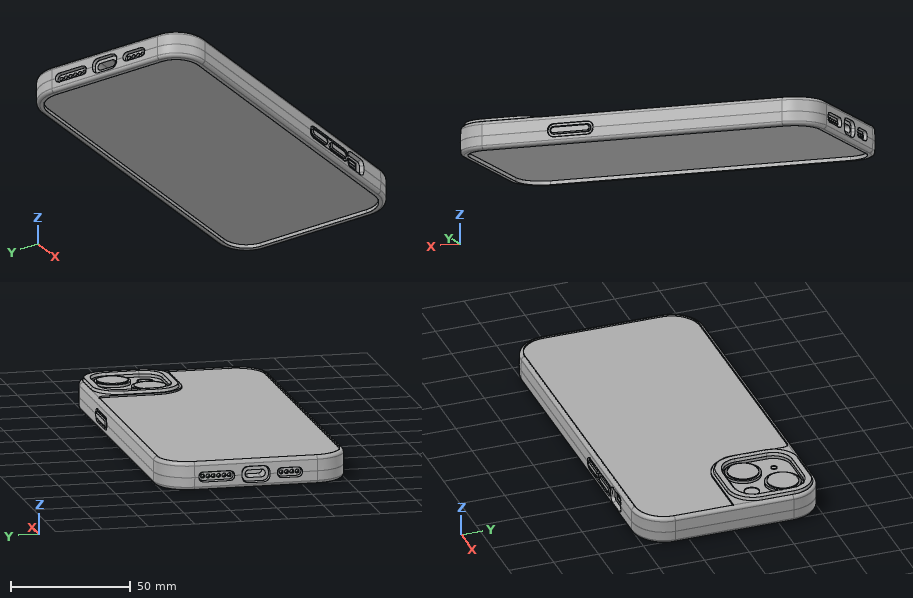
import cadquery as cq
import math

LENGTH = 164.1
WIDTH = 81.7
CORNER_RADIUS = 14.5
CASE_HEIGHT = 12.1
WIDEST_Z = 5.5
SIDE_LEAN = 0.2
TOP_ROUND = 1.6
BOTTOM_ROUND = 1.5

WALL = 1.6
PHONE_BOTTOM_Z = 1.6
PHONE_HEIGHT = 7.7
PHONE_LENGTH = LENGTH - 2 * WALL
PHONE_WIDTH = WIDTH - 2 * WALL
PHONE_CORNER = CORNER_RADIUS - WALL
PHONE_TOP_Z = PHONE_BOTTOM_Z + PHONE_HEIGHT
SCREEN_LIP = 1.6

CAMERA_X = 61.5
CAMERA_Y = 20.2
CAMERA_OPENING = 30.2
OPENING_RADIUS = 8.0
CAMERA_FLOOR_Z = 10.8
RING_SIDE = 37.5
RING_RADIUS = 11.5
RING_HEIGHT = 1.3
RING_LEAN = 0.5
LENS_CENTRES = [(68.1, 26.6), (55.3, 13.5)]
LENS_RADIUS = 7.7
LENS_HEIGHT = 1.1
GLASS_RADIUS = 6.7
GLASS_HEIGHT = 0.5
FLASH_CENTRE = (69.7, 12.1)
FLASH_RADIUS = 3.3
MICROPHONE_CENTRE = (54.0, 27.7)
MICROPHONE_RADIUS = 1.3
CAMERA_DIMPLE_DEPTH = 0.3

PANEL_INSET = 1.8
PANEL_CORNER = CORNER_RADIUS - PANEL_INSET
PANEL_THICKNESS = 1.0
PANEL_SINK = 0.7
PANEL_TOP_Z = CASE_HEIGHT - PANEL_SINK
NOTCH_X = 41.7
NOTCH_Y = 0.2
NOTCH_RADIUS = 13.1
PANEL_TIP_RADIUS = 2.6

BUTTON_RADIUS = 1.6
BUTTON_REACH = 41.2
BUTTON_BEVEL = 0.5
BUTTON_RECESS_DEPTH = 0.8
BUTTON_FLOOR = WIDTH / 2 - BUTTON_RECESS_DEPTH
BUTTON_MARGIN = 1.1
VOLUME_BUTTON_LENGTH = 12.0
VOLUME_BUTTON_XS = [20.8, 35.1]
POWER_BUTTON_LENGTH = 18.2
POWER_BUTTON_X = 27.9

SWITCH_X = 48.4
SWITCH_WINDOW_LENGTH = 10.3
SWITCH_WINDOW_HEIGHT = 5.5
SWITCH_WINDOW_RADIUS = 1.3
SWITCH_FLARE = 1.0
SWITCH_SLOT_LENGTH = 5.5
SWITCH_SLOT_HEIGHT = 3.0
SWITCH_SLOT_DEPTH = 0.5

END_FLARE = 0.3
PORT_WINDOW_LENGTH = 11.3
PORT_WINDOW_HEIGHT = 6.4
PORT_WINDOW_RADIUS = 2.5
PORT_LENGTH = 8.7
PORT_HEIGHT = 3.3
PORT_DEPTH = 6.5
SPEAKER_WINDOW_HEIGHT = 3.6
SPEAKER_END_MARGIN = 1.6
SPEAKER_HOLE_RADIUS = 0.8
SPEAKER_HOLE_PITCH = 2.3
SPEAKER_HOLE_DEPTH = 1.6
SPEAKER_FIRST_Y = 11.2
SPEAKER_HOLES_LEFT = 6
SPEAKER_HOLES_RIGHT = 4

THROUGH_WALL = 2 * WALL


def rounded_box(length, width, radius, bottom_z, height, x=0, y=0):
    """Box with upright rounded corners, centred on (x, y)."""
    box = cq.Workplane("XY", origin=(x, y, bottom_z)).rect(length, width).extrude(height)
    return box.edges("|Z").fillet(radius)


def rounded_outline(length, width, radius):
    return cq.Sketch().rect(length, width).vertices().fillet(radius)


def leaning_box(length, width, radius, start_z, height, lean, x=0, y=0):
    """Rounded box whose walls move inward by `lean` over its height (built downward if that is negative)."""
    taper = math.degrees(math.atan2(lean, abs(height)))
    outline = rounded_outline(length, width, radius)
    base = cq.Workplane("XY", origin=(x, y, start_z))
    return base.placeSketch(outline).extrude(height, taper=taper)


def front_plane(x, reach):
    """Plane facing -Y at distance `reach`, level with the widest line."""
    return cq.Plane(origin=(x, -reach, WIDEST_Z), xDir=(1, 0, 0), normal=(0, -1, 0))


def back_plane(x, reach):
    """Plane facing +Y at distance `reach`, level with the widest line."""
    return cq.Plane(origin=(x, reach, WIDEST_Z), xDir=(-1, 0, 0), normal=(0, 1, 0))


def end_plane(y, reach):
    """Plane facing -X at distance `reach`, level with the widest line."""
    return cq.Plane(origin=(-reach, y, WIDEST_Z), xDir=(0, -1, 0), normal=(-1, 0, 0))


def flared_window(plane, outline, flare):
    """Cutter through the case wall that grows outward by `flare` over the wall thickness."""
    taper = math.degrees(math.atan2(flare, WALL))
    return cq.Workplane(plane).placeSketch(outline).extrude(THROUGH_WALL, taper=-taper)


def pill(plane, length, height, depth):
    """Slot shape with round ends on `plane`, extruded along its normal."""
    return cq.Workplane(plane).slot2D(length, height).extrude(depth)


def phone_block():
    body = rounded_box(PHONE_LENGTH, PHONE_WIDTH, PHONE_CORNER, PHONE_BOTTOM_Z, PHONE_HEIGHT)
    camera_height = CAMERA_FLOOR_Z - PHONE_TOP_Z
    plateau = rounded_box(
        CAMERA_OPENING, CAMERA_OPENING, OPENING_RADIUS, PHONE_TOP_Z, camera_height, CAMERA_X, CAMERA_Y
    )
    return body.union(plateau)


def panel_block(height):
    """Rounded plate with a notch round the camera, from the panel underside upward."""
    bottom_z = PANEL_TOP_Z - PANEL_THICKNESS
    plate = rounded_box(LENGTH - 2 * PANEL_INSET, WIDTH - 2 * PANEL_INSET, PANEL_CORNER, bottom_z, height)
    notch = (
        cq.Workplane("XY", origin=(NOTCH_X, NOTCH_Y, bottom_z))
        .rect(LENGTH, WIDTH, centered=False)
        .extrude(height)
        .edges("|Z and <X and <Y")
        .fillet(NOTCH_RADIUS)
    )
    tip = cq.selectors.NearestToPointSelector((NOTCH_X, WIDTH / 2 - PANEL_INSET, bottom_z + height / 2))
    return plate.cut(notch).edges(tip).fillet(PANEL_TIP_RADIUS)


def speaker_hole_ys(side, count):
    return [side * (SPEAKER_FIRST_Y + i * SPEAKER_HOLE_PITCH) for i in range(count)]


SPEAKER_ROWS = [speaker_hole_ys(1, SPEAKER_HOLES_LEFT), speaker_hole_ys(-1, SPEAKER_HOLES_RIGHT)]


def make_lens(centre):
    """Stepped disc: a wide barrel with a slightly smaller glass on it."""
    barrel = cq.Workplane("XY", origin=(*centre, CAMERA_FLOOR_Z)).circle(LENS_RADIUS).extrude(LENS_HEIGHT)
    return barrel.faces(">Z").workplane().circle(GLASS_RADIUS).extrude(GLASS_HEIGHT)


def camera_dimple(centre, radius):
    floor = cq.Workplane("XY", origin=(*centre, CAMERA_FLOOR_Z))
    return floor.circle(radius).extrude(-CAMERA_DIMPLE_DEPTH)


def switch_slot():
    """Slot in the phone side, half as deep below the middle where the switch sits."""
    plane = front_plane(SWITCH_X, PHONE_WIDTH / 2)
    slot = cq.Workplane(plane).rect(SWITCH_SLOT_LENGTH, SWITCH_SLOT_HEIGHT).extrude(-SWITCH_SLOT_DEPTH)
    lever = (
        cq.Workplane(plane)
        .workplane(offset=-SWITCH_SLOT_DEPTH)
        .center(0, -SWITCH_SLOT_HEIGHT / 4)
        .rect(SWITCH_SLOT_LENGTH, SWITCH_SLOT_HEIGHT / 2)
        .extrude(SWITCH_SLOT_DEPTH / 2)
    )
    return slot.cut(lever)


def make_phone():
    phone = phone_block()
    for centre in LENS_CENTRES:
        phone = phone.union(make_lens(centre))
    phone = phone.cut(camera_dimple(FLASH_CENTRE, FLASH_RADIUS))
    phone = phone.cut(camera_dimple(MICROPHONE_CENTRE, MICROPHONE_RADIUS))
    phone = phone.cut(switch_slot())
    phone = phone.cut(pill(end_plane(0, PHONE_LENGTH / 2), PORT_LENGTH, PORT_HEIGHT, -PORT_DEPTH))
    for row in SPEAKER_ROWS:
        for y in row:
            plane = end_plane(y, PHONE_LENGTH / 2)
            phone = phone.cut(cq.Workplane(plane).circle(SPEAKER_HOLE_RADIUS).extrude(-SPEAKER_HOLE_DEPTH))
    return phone


def case_block():
    upper = leaning_box(LENGTH, WIDTH, CORNER_RADIUS, WIDEST_Z, CASE_HEIGHT - WIDEST_Z, SIDE_LEAN)
    lower = leaning_box(LENGTH, WIDTH, CORNER_RADIUS, WIDEST_Z, -WIDEST_Z, SIDE_LEAN)
    upper = upper.faces(">Z").edges().fillet(TOP_ROUND)
    lower = lower.faces("<Z").edges().fillet(BOTTOM_ROUND)
    return upper.union(lower)


def screen_opening():
    return rounded_box(
        PHONE_LENGTH - 2 * SCREEN_LIP,
        PHONE_WIDTH - 2 * SCREEN_LIP,
        PHONE_CORNER - SCREEN_LIP,
        0,
        PHONE_BOTTOM_Z,
    )


def camera_opening():
    height = CASE_HEIGHT - PHONE_TOP_Z
    return rounded_box(
        CAMERA_OPENING, CAMERA_OPENING, OPENING_RADIUS, PHONE_TOP_Z, height, CAMERA_X, CAMERA_Y
    )


def button_recess(plane, span):
    """Pill-shaped recess cut in the case side round buttons that cover `span`."""
    height = 2 * (BUTTON_RADIUS + BUTTON_MARGIN)
    return pill(plane, span + 2 * BUTTON_MARGIN, height, THROUGH_WALL)


def button(plane, length):
    height = BUTTON_REACH - BUTTON_FLOOR
    outer_face = cq.selectors.DirectionMinMaxSelector(plane.zDir)
    return pill(plane, length, 2 * BUTTON_RADIUS, height).faces(outer_face).chamfer(BUTTON_BEVEL)


def add_buttons(case):
    volume_x = sum(VOLUME_BUTTON_XS) / len(VOLUME_BUTTON_XS)
    volume_span = VOLUME_BUTTON_XS[-1] - VOLUME_BUTTON_XS[0] + VOLUME_BUTTON_LENGTH
    case = case.cut(button_recess(front_plane(volume_x, BUTTON_FLOOR), volume_span))
    case = case.cut(button_recess(back_plane(POWER_BUTTON_X, BUTTON_FLOOR), POWER_BUTTON_LENGTH))
    for x in VOLUME_BUTTON_XS:
        case = case.union(button(front_plane(x, BUTTON_FLOOR), VOLUME_BUTTON_LENGTH))
    return case.union(button(back_plane(POWER_BUTTON_X, BUTTON_FLOOR), POWER_BUTTON_LENGTH))


def switch_window():
    outline = rounded_outline(SWITCH_WINDOW_LENGTH, SWITCH_WINDOW_HEIGHT, SWITCH_WINDOW_RADIUS)
    return flared_window(front_plane(SWITCH_X, PHONE_WIDTH / 2), outline, SWITCH_FLARE)


def port_window():
    outline = rounded_outline(PORT_WINDOW_LENGTH, PORT_WINDOW_HEIGHT, PORT_WINDOW_RADIUS)
    return flared_window(end_plane(0, PHONE_LENGTH / 2), outline, END_FLARE)


def speaker_window(row):
    """Window with round ends along one row of speaker holes."""
    length = abs(row[-1] - row[0]) + 2 * SPEAKER_END_MARGIN
    outline = cq.Sketch().slot(length - SPEAKER_WINDOW_HEIGHT, SPEAKER_WINDOW_HEIGHT)
    return flared_window(end_plane((row[0] + row[-1]) / 2, PHONE_LENGTH / 2), outline, END_FLARE)


def make_case():
    case = add_buttons(case_block())
    case = case.cut(switch_window()).cut(port_window())
    for row in SPEAKER_ROWS:
        case = case.cut(speaker_window(row))
    case = case.cut(panel_block(PANEL_THICKNESS + PANEL_SINK))
    case = case.cut(screen_opening()).cut(camera_opening())
    return case.cut(phone_block())


def make_back_panel():
    return panel_block(PANEL_THICKNESS)


def make_camera_ring():
    """Raised frame round the camera, both of its walls leaning so that the top is narrower."""
    levels = (CASE_HEIGHT, RING_HEIGHT)
    frame = leaning_box(RING_SIDE, RING_SIDE, RING_RADIUS, *levels, RING_LEAN, CAMERA_X, CAMERA_Y)
    opening = leaning_box(
        CAMERA_OPENING, CAMERA_OPENING, OPENING_RADIUS, *levels, -RING_LEAN, CAMERA_X, CAMERA_Y
    )
    return frame.cut(opening)


phone = make_phone()
case = make_case()
back_panel = make_back_panel()
camera_ring = make_camera_ring()

bodies = [phone, case, back_panel, camera_ring]
result = cq.Compound.makeCompound([body.solids().val() for body in bodies])